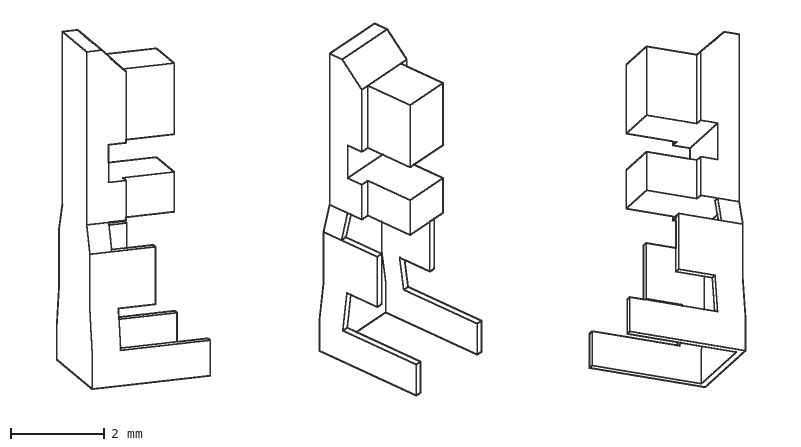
import cadquery as cq

length = 7.5
grip_top = 0.8
barrel_bottom = 1.7
barrel_top = 3.0
body_bottom = 3.6
notch_bottom = 4.5
notch_top = 5.35
bevel_start = 6.95

grip_width = 2.2
barrel_width = 1.92
body_width = 1.515
block_width = 1.11
wall = 0.15

grip_depth = 2.7
barrel_depth = 1.5
body_depth = 0.9
block_depth = 2.08
lower_neck_depth = 0.65
spine_depth = 0.5
tip_depth = 0.35


def centered_box(width, depth, bottom, top):
    """Box centred on X, rising from the flat back."""
    return cq.Workplane("XY", origin=(0, depth / 2, bottom)).box(
        width, depth, top - bottom, centered=(True, True, False)
    )


def wing_pair(width, depth, bottom, top):
    """Two thin side walls joined by the back plate of the channel."""
    channel = centered_box(width - 2 * wall, depth, bottom, top)
    channel = channel.translate((0, wall, 0))
    return centered_box(width, depth, bottom, top).cut(channel)


def tapered_channel(lower_width, upper_width, depth, bottom, top):
    """Channel whose side walls lean in from the lower width to the upper one."""
    outer = [
        (-lower_width / 2, bottom),
        (lower_width / 2, bottom),
        (upper_width / 2, top),
        (-upper_width / 2, top),
    ]
    inner = [(x - wall if x > 0 else x + wall, z) for x, z in outer]
    solid = cq.Workplane("XZ").polyline(outer).close().extrude(-depth)
    channel = cq.Workplane("XZ", origin=(0, wall, 0)).polyline(inner).close().extrude(-depth)
    return solid.cut(channel)


def body():
    """Solid upper bar with a bevelled tip and a notch across its front."""
    profile = [
        (0, body_bottom),
        (body_depth, body_bottom),
        (body_depth, notch_bottom),
        (spine_depth, notch_bottom),
        (spine_depth, notch_top),
        (body_depth, notch_top),
        (body_depth, bevel_start),
        (tip_depth, length),
        (0, length),
    ]
    return cq.Workplane("YZ").polyline(profile).close().extrude(body_width / 2, both=True)


result = wing_pair(grip_width, grip_depth, 0, grip_top)
result = result.union(
    tapered_channel(grip_width, barrel_width, lower_neck_depth, grip_top, barrel_bottom)
)
result = result.union(wing_pair(barrel_width, barrel_depth, barrel_bottom, barrel_top))
result = result.union(
    tapered_channel(barrel_width, body_width, spine_depth, barrel_top, body_bottom)
)

result = result.union(body())
for block_bottom, block_top in ((body_bottom, notch_bottom), (notch_top, bevel_start)):
    result = result.union(centered_box(block_width, block_depth, block_bottom, block_top))